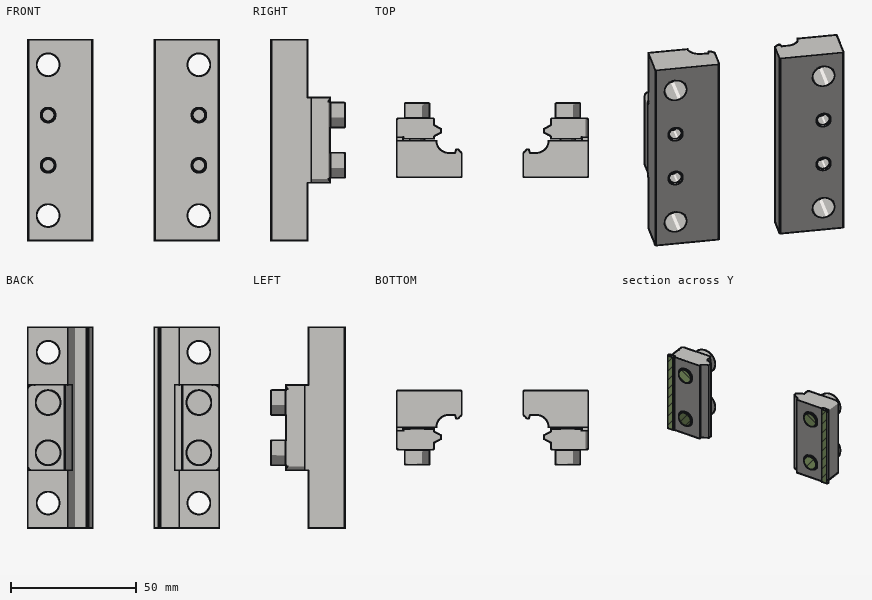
import cadquery as cq
import math


overall_width = 76.4
outer_x = -overall_width / 2
block_length = 80.0
block_width = 26.0
block_depth = 14.6
front_chamfer = 0.4

groove_start = 15.9
groove_radius = 4.9
groove_end = 23.3
lip_rise = 1.5
lip_lean = 0.5
lip_chamfer = 1.6

ledge_width = 2.6
ledge_rise = 1.4

hole_x = -30.0
mount_spacing = 60.0
mount_diameter = 9.0
screw_spacing = 20.0
core_diameter = 4.9

clamp_length = 34.0
clamp_width = 15.0
clamp_bottom = 15.3
clamp_top = 23.6
relief_gap = 0.2
clamp_corner_radius = 2.0
clamp_top_radius = 1.0
inner_edge_chamfer = 0.4
nose_reach = 17.8
nose_root_low = 16.3
nose_root_high = 20.8
nose_tip_height = 1.5
clearance_diameter = 6.6

shank_diameter = 6.0
shank_length = 16.0
head_diameter = 10.0
head_height = 6.0
head_top_radius = 0.6
head_base_chamfer = 0.2

ledge_top = block_depth + ledge_rise
shank_end = clamp_top - shank_length
screw_heights = (-screw_spacing / 2, screw_spacing / 2)
mount_heights = (-mount_spacing / 2, mount_spacing / 2)


def cylinder(diameter, x, z, y_start, y_end):
    """Cylinder along Y between two depths."""
    return (
        cq.Workplane("XZ", origin=(x, y_start, z))
        .circle(diameter / 2)
        .extrude(y_start - y_end)
    )


def extrude_centred(outline, length):
    """Extrude a closed XY outline along Z, half to each side of Z = 0."""
    return outline.extrude(length / 2, both=True)


def make_block():
    inner_x = outer_x + block_width
    groove_x = outer_x + groove_start
    groove_y = block_depth - groove_radius
    arc_step = groove_radius * math.sqrt(0.5)
    lip_y = groove_y + lip_rise
    outline = (
        cq.Workplane("XY")
        .moveTo(outer_x, front_chamfer)
        .lineTo(outer_x, block_depth)
        .lineTo(groove_x, block_depth)
        .threePointArc(
            (groove_x + groove_radius - arc_step, block_depth - arc_step),
            (groove_x + groove_radius, groove_y),
        )
        .lineTo(outer_x + groove_end, groove_y)
        .lineTo(outer_x + groove_end + lip_lean, lip_y)
        .lineTo(inner_x - lip_chamfer, lip_y)
        .lineTo(inner_x, lip_y - lip_chamfer)
        .lineTo(inner_x, front_chamfer)
        .lineTo(inner_x - front_chamfer, 0)
        .lineTo(outer_x + front_chamfer, 0)
        .close()
    )
    block = extrude_centred(outline, block_length)

    ledge = (
        cq.Workplane("XY")
        .box(ledge_width, ledge_rise, clamp_length, centered=(False, False, True))
        .translate((outer_x, block_depth, 0))
    )
    block = block.union(ledge)

    for z in mount_heights:
        block = block.cut(cylinder(mount_diameter, hole_x, z, 0, block_depth))
    for z in screw_heights:
        block = block.cut(make_screw_hole(z))
    return block


def make_screw_hole(z):
    """Hole that fits the shank, with a narrower core open at a countersunk front mouth."""
    sink = (shank_diameter - core_diameter) / 2
    mouth = (
        cq.Workplane("XZ", origin=(hole_x, 0, z))
        .circle(shank_diameter / 2)
        .workplane(offset=-sink)
        .circle(core_diameter / 2)
        .loft()
    )
    core = cylinder(core_diameter, hole_x, z, 0, shank_end)
    thread = cylinder(shank_diameter, hole_x, z, shank_end, block_depth)
    return core.union(thread).union(mouth)


def make_clamp():
    inner_x = outer_x + clamp_width
    relief_x = outer_x + ledge_width + relief_gap
    nose_x = outer_x + nose_reach
    nose_y = (nose_root_low + nose_root_high) / 2
    arc_inset = clamp_top_radius * (1 - math.sqrt(0.5))
    outline = (
        cq.Workplane("XY")
        .moveTo(outer_x, ledge_top)
        .lineTo(outer_x, clamp_top - clamp_top_radius)
        .threePointArc(
            (outer_x + arc_inset, clamp_top - arc_inset),
            (outer_x + clamp_top_radius, clamp_top),
        )
        .lineTo(inner_x - inner_edge_chamfer, clamp_top)
        .lineTo(inner_x, clamp_top - inner_edge_chamfer)
        .lineTo(inner_x, nose_root_high)
        .lineTo(nose_x, nose_y + nose_tip_height / 2)
        .lineTo(nose_x, nose_y - nose_tip_height / 2)
        .lineTo(inner_x, nose_root_low)
        .lineTo(inner_x, clamp_bottom)
        .lineTo(relief_x, clamp_bottom)
        .lineTo(relief_x, ledge_top)
        .close()
    )
    profile = extrude_centred(outline, clamp_length)

    rounded_plan = (
        cq.Workplane("XY")
        .box(nose_reach, clamp_top, clamp_length, centered=(False, False, True))
        .translate((outer_x, 0, 0))
        .edges("|Y and <X")
        .fillet(clamp_corner_radius)
    )
    clamp = profile.intersect(rounded_plan)
    for z in screw_heights:
        clamp = clamp.cut(cylinder(clearance_diameter, hole_x, z, clamp_bottom, clamp_top))
    return clamp


def make_screw(z):
    head_top = clamp_top + head_height
    head = cylinder(head_diameter, hole_x, z, clamp_top, head_top)
    head = head.faces(">Y").edges().fillet(head_top_radius)
    head = head.faces("<Y").chamfer(head_base_chamfer)
    return head.union(cylinder(shank_diameter, hole_x, z, shank_end, clamp_top))


left_bodies = [make_block(), make_clamp()]
for screw_z in screw_heights:
    left_bodies.append(make_screw(screw_z))

right_bodies = [body.mirror("YZ") for body in left_bodies]

result = cq.Compound.makeCompound([body.val() for body in left_bodies + right_bodies])